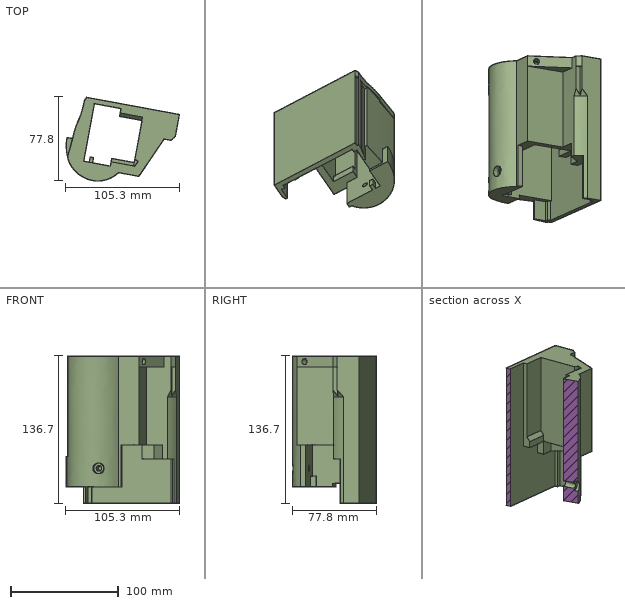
import cadquery as cq

TURN = -10.5
HEIGHT = 136.67

CAP_BOTTOM = HEIGHT - 10.0
CAP_BOW_BOTTOM = HEIGHT - 6.8
SLEEVE_BOTTOM = 15.2
LEFT_WALL_BOTTOM = 18.4
FLANGE_BOTTOM = 41.3
TAB_TOP = 43.6
FRONT_WALL_BOTTOM = 54.2
BEVEL_FULL_TOP = 98.5
BEVEL_FADE_TOP = 105.1

WIDTH = 89.3
PLATE = 4.65
BACK_CHAMFER_U = 1.7
BACK_CHAMFER_D = 3.3
LEFT_FACE_END = 6.7
LEFT_LIP_OUTER = 2.25
LEFT_LIP_INNER = 4.2
LEFT_LIP_DEPTH = 19.9
RIGHT_LIP_INNER = 86.0
RIGHT_LIP_DEPTH = 18.2
RAIL_WIDTH = 3.5
RAIL_DEPTH = 7.7
GROOVE_START = 11.1
GROOVE_END = 15.5
GROOVE_FLOOR = 1.5
GROOVE_BOTTOM = 3.5

LEFT_START = (-0.8, 16.9)
SLEEVE_LEFT_MID = (-3.5, 37.0)
CAP_LEFT_MID = (-2.9, 26.0)
CAP_LEFT_FLAT = (-4.1, 35.5)
ROUND_START = (-5.7, 58.0)
ROUND_MID_LEFT = (7.6, 71.8)
ROUND_FRONT = (26.6, 74.55)
ROUND_MID_RIGHT = (37.4, 69.6)
ROUND_END = 43.4
FRONT = 63.5
FRONT_RIGHT = 62.7
FLANGE_DEPTH = 25.2
WEB_END = 79.4

CHAMFER_START_U = 86.0
CHAMFER_END_D = 20.6
BEVEL_START_U = 82.5
BEVEL_MID = (86.4, 20.15)
BEVEL_END_D = 14.5

CAVITY_LEFT = 9.9
CAVITY_STEP = 34.8
CAVITY_RIGHT = 56.0
CAVITY_FRONT = 58.8
NARROW_BACK = 8.7
NARROW_FRONT = 54.8
LEDGE = 3.3
LEDGE_HEIGHT = 10.0
LEDGE_SLOPE_HEIGHT = 4.0

OPENING_LEFT = 46.0
OPENING_STEP_DEPTH = NARROW_BACK + LEDGE
OPENING_STEP_END = 67.2
OPENING_SLANT_END = 77.9

TAB_BACK = 40.0
TAB_OUTER = [(-9.6, TAB_BACK), (-8.75, 48.8), ROUND_START]
TAB_INNER = (0.0, ROUND_START[1])

PEG_U = 14.8
PEG_WIDTH = 3.4
PEG_LENGTH = 5.0
PEG_HEIGHT = 10.0

FRONT_HOLE_U = 26.3
FRONT_HOLE_Z = 32.4
FRONT_HOLE_DIAMETER = 5.2
HEAD_DIAMETER = 9.8
HEAD_DEPTH = 4.2
WEB_HOLE_U = 66.0
WEB_HOLE_BELOW_TOP = 5.1
WEB_HOLE_DIAMETER = 5.4
WEB_HOLE_DEPTH = 8.5
NUT_POCKET = [(55.0, 48.0), (CAVITY_RIGHT, 48.4), (59.5, 49.8), (57.0, 54.8), (55.0, 54.8)]
NUT_POCKET_DEPTH = 3.5

BEYOND = 100.0


def at(u, d):
    return (u, -d)


def outline_from(points, level):
    return cq.Workplane("XY").workplane(offset=level).polyline([at(u, d) for u, d in points])


def prism(points, bottom, top):
    return outline_from(points, bottom).close().extrude(top - bottom)


def block(u_start, u_end, d_start, d_end, bottom, top):
    corners = [(u_start, d_start), (u_end, d_start), (u_end, d_end), (u_start, d_end)]
    return prism(corners, bottom, top)


def make_cap_side():
    """Left side of the top cap; its bowed part stops short of the cap bottom."""
    back_left = [(BACK_CHAMFER_U, 0), (0, BACK_CHAMFER_D), (0, LEFT_FACE_END), LEFT_START]
    outline = outline_from(back_left, CAP_BOTTOM)
    outline = outline.threePointArc(at(*CAP_LEFT_MID), at(*CAP_LEFT_FLAT))
    outline = outline.lineTo(*at(*ROUND_START)).lineTo(*at(CAVITY_LEFT, ROUND_START[1]))
    side = outline.lineTo(*at(CAVITY_LEFT, 0)).close().extrude(HEIGHT - CAP_BOTTOM)
    relief = block(
        -BEYOND, CAVITY_LEFT, LEFT_START[1], CAP_LEFT_FLAT[1], CAP_BOTTOM, CAP_BOW_BOTTOM
    )
    return side.cut(relief)


def make_web():
    """Triangular web of the cap between the front wall and the flange."""
    points = [(FRONT_RIGHT, FRONT), (WEB_END, FLANGE_DEPTH), (FRONT_RIGHT, FLANGE_DEPTH)]
    return prism(points, CAP_BOTTOM, HEIGHT)


def make_sleeve():
    """Solid sleeve with the rounded front, the front wall and the flange."""
    back_left = [(LEFT_LIP_INNER, 0), (LEFT_LIP_INNER, LEFT_START[1]), LEFT_START]
    outline = outline_from(back_left, SLEEVE_BOTTOM)
    outline = outline.threePointArc(at(*SLEEVE_LEFT_MID), at(*ROUND_START))
    round_points = [ROUND_MID_LEFT, ROUND_FRONT, ROUND_MID_RIGHT, (ROUND_END, FRONT)]
    outline = outline.spline([at(u, d) for u, d in round_points], includeCurrent=True)
    right_side = [
        (FRONT_RIGHT, FRONT),
        (FRONT_RIGHT, FLANGE_DEPTH),
        (CHAMFER_START_U, FLANGE_DEPTH),
        (WIDTH, CHAMFER_END_D),
        (WIDTH, 0),
    ]
    for u, d in right_side:
        outline = outline.lineTo(*at(u, d))
    return outline.close().extrude(HEIGHT - SLEEVE_BOTTOM)


def make_back_plate():
    points = [
        (BACK_CHAMFER_U, 0),
        (BACK_CHAMFER_U, BACK_CHAMFER_D),
        (0, BACK_CHAMFER_D),
        (0, LEFT_FACE_END),
        (LEFT_LIP_OUTER, LEFT_LIP_DEPTH),
        (LEFT_LIP_INNER, LEFT_LIP_DEPTH),
        (LEFT_LIP_INNER, RAIL_DEPTH),
        (LEFT_LIP_INNER + RAIL_WIDTH, RAIL_DEPTH),
        (LEFT_LIP_INNER + RAIL_WIDTH, PLATE),
        (RIGHT_LIP_INNER - RAIL_WIDTH, PLATE),
        (RIGHT_LIP_INNER - RAIL_WIDTH, RAIL_DEPTH),
        (RIGHT_LIP_INNER, RAIL_DEPTH),
        (RIGHT_LIP_INNER, RIGHT_LIP_DEPTH),
        (WIDTH, RIGHT_LIP_DEPTH),
        (WIDTH, 0),
    ]
    plate = prism(points, 0, CAP_BOTTOM)
    groove = block(-BEYOND, GROOVE_FLOOR, GROOVE_START, GROOVE_END, GROOVE_BOTTOM, CAP_BOTTOM)
    return plate.cut(groove)


def make_tab():
    start, middle, end = [at(u, d) for u, d in TAB_OUTER]
    outline = cq.Workplane("XY").workplane(offset=SLEEVE_BOTTOM).moveTo(*start)
    outline = outline.threePointArc(middle, end).lineTo(*at(*TAB_INNER)).lineTo(*at(0, TAB_BACK))
    return outline.close().extrude(TAB_TOP - SLEEVE_BOTTOM)


def lower_openings():
    """Space below the front wall, the flange and the left wall, in front of the back plate."""
    under_front = prism(
        [
            (CAVITY_LEFT, PLATE),
            (CAVITY_RIGHT, PLATE),
            (CAVITY_RIGHT, OPENING_STEP_DEPTH),
            (OPENING_STEP_END, OPENING_STEP_DEPTH),
            (OPENING_SLANT_END, FLANGE_DEPTH),
            (OPENING_SLANT_END, BEYOND),
            (OPENING_LEFT, BEYOND),
            (OPENING_LEFT, CAVITY_FRONT),
            (CAVITY_LEFT, CAVITY_FRONT),
        ],
        0,
        FRONT_WALL_BOTTOM,
    )
    under_flange = block(CAVITY_RIGHT, BEYOND, PLATE, BEYOND, 0, FLANGE_BOTTOM)
    under_left_wall = block(-BEYOND, CAVITY_LEFT, PLATE, TAB_BACK, 0, LEFT_WALL_BOTTOM)
    return under_front.union(under_flange).union(under_left_wall)


def upper_cavity():
    points = [
        (CAVITY_LEFT, PLATE),
        (CAVITY_STEP, PLATE),
        (CAVITY_STEP, NARROW_BACK),
        (CAVITY_RIGHT, NARROW_BACK),
        (CAVITY_RIGHT, NARROW_FRONT),
        (CAVITY_STEP, NARROW_FRONT),
        (CAVITY_STEP, CAVITY_FRONT),
        (CAVITY_LEFT, CAVITY_FRONT),
    ]
    return prism(points, FRONT_WALL_BOTTOM, HEIGHT)


def make_ledges():
    """Flat-topped front ledge and slope-topped back ledge in the narrow part of the cavity."""
    top = FRONT_WALL_BOTTOM + LEDGE_HEIGHT
    front = block(
        CAVITY_STEP, CAVITY_RIGHT, NARROW_FRONT - LEDGE, NARROW_FRONT, FRONT_WALL_BOTTOM, top
    )
    back_edge = -NARROW_BACK
    front_edge = -NARROW_BACK - LEDGE
    profile = [
        (back_edge, FRONT_WALL_BOTTOM),
        (back_edge, top),
        (front_edge, top - LEDGE_SLOPE_HEIGHT),
        (front_edge, FRONT_WALL_BOTTOM),
    ]
    side = cq.Workplane("YZ").workplane(offset=CAVITY_STEP)
    back = side.polyline(profile).close().extrude(CAVITY_RIGHT - CAVITY_STEP)
    return front.union(back)


def corner_bevel():
    """Material taken off the right front corner, fading into the notch below the cap."""
    outline = cq.Workplane("XY").moveTo(*at(BEVEL_START_U, FLANGE_DEPTH))
    outline = outline.threePointArc(at(*BEVEL_MID), at(WIDTH, BEVEL_END_D))
    outline = outline.lineTo(*at(BEYOND, BEVEL_END_D)).lineTo(*at(BEYOND, BEYOND))
    outline = outline.lineTo(*at(BEVEL_START_U, BEYOND))
    bevel = outline.close().extrude(BEVEL_FULL_TOP)

    wide = [(BEVEL_START_U, FLANGE_DEPTH), (WIDTH, BEVEL_END_D), (WIDTH, FLANGE_DEPTH)]
    narrow = [(CHAMFER_START_U, FLANGE_DEPTH), (WIDTH, CHAMFER_END_D), (WIDTH, FLANGE_DEPTH)]
    fade = outline_from(wide, BEVEL_FULL_TOP).close()
    fade = fade.workplane(offset=BEVEL_FADE_TOP - BEVEL_FULL_TOP)
    fade = fade.polyline([at(u, d) for u, d in narrow]).close().loft(ruled=True)

    notch = block(
        CHAMFER_START_U, BEYOND, CHAMFER_END_D, BEYOND, BEVEL_FULL_TOP, CAP_BOTTOM
    )
    return bevel.union(fade).union(notch)


def front_screw_hole():
    face = cq.Workplane("XZ", origin=(FRONT_HOLE_U, -CAVITY_FRONT, FRONT_HOLE_Z))
    shank = face.circle(FRONT_HOLE_DIAMETER / 2).extrude(BEYOND)
    head_floor = ROUND_FRONT[1] - HEAD_DEPTH - CAVITY_FRONT
    head = face.workplane(offset=head_floor).circle(HEAD_DIAMETER / 2).extrude(BEYOND)
    return shank.union(head)


def web_screw_hole():
    """Hole square to the slanted web of the cap, with a pocket in the cavity corner behind it."""
    run = WEB_END - FRONT_RIGHT
    rise = FRONT - FLANGE_DEPTH
    hole_d = FRONT - (WEB_HOLE_U - FRONT_RIGHT) * rise / run
    inward = cq.Vector(-rise, run, 0).normalized()
    hole_end = cq.Vector(WEB_HOLE_U, -hole_d, HEIGHT - WEB_HOLE_BELOW_TOP) + inward * WEB_HOLE_DEPTH
    hole = cq.Solid.makeCylinder(WEB_HOLE_DIAMETER / 2, 2 * WEB_HOLE_DEPTH, hole_end, -inward)
    pocket = prism(NUT_POCKET, HEIGHT - NUT_POCKET_DEPTH, HEIGHT)
    return pocket.union(cq.Workplane(hole))


def make_peg():
    return block(
        PEG_U,
        PEG_U + PEG_WIDTH,
        CAVITY_FRONT - PEG_LENGTH,
        CAVITY_FRONT,
        SLEEVE_BOTTOM,
        SLEEVE_BOTTOM + PEG_HEIGHT,
    )


body = make_sleeve().union(make_tab()).cut(lower_openings())
body = body.union(make_back_plate()).union(make_cap_side()).union(make_web())
body = body.cut(upper_cavity()).union(make_ledges()).union(make_peg())
body = body.cut(corner_bevel()).cut(front_screw_hole()).cut(web_screw_hole())
result = body.rotate((0, 0, 0), (0, 0, 1), TURN)